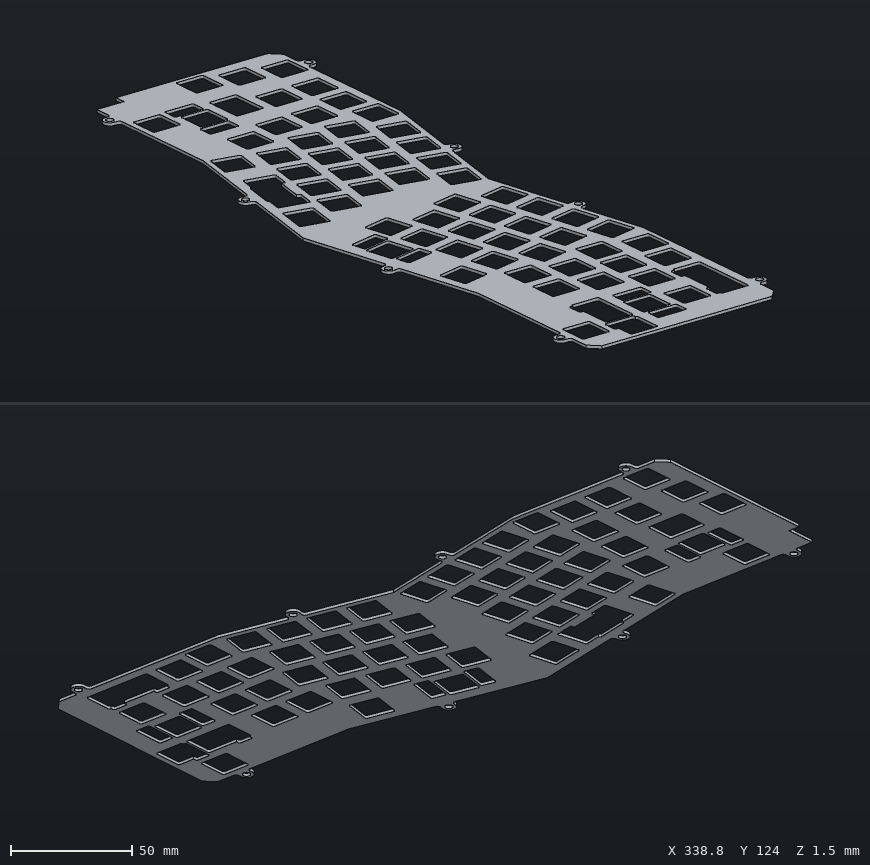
import cadquery as cq
import math


LENGTH = 338.8
THICKNESS = 1.5
TILT = 12.0
TOP_EDGE = 56.0
BOTTOM_EDGE = -42.5
BOTTOM_TIP = -62.0
TOP_BEND_LEFT = -86.5
TOP_BEND_RIGHT = 77.0
CORNER_CHAMFER = 4.7
NOTCH_WIDTH = 5.5
NOTCH_HEIGHT = 14.2

ROWS = 5
ROW_SPAN = 76.2
PITCH = ROW_SPAN / (ROWS - 1)
TOP_ROW = 44.0
KEY_WEB = 5.0
KEY_OPENING = PITCH - KEY_WEB
CORNER_RADIUS = 0.7
RAISE = 2.5

SLOT_WIDTH = 7.0
SLOT_HEIGHT = 15.0
SLOT_SPREAD = 12.0
SLOT_SHIFT = 1.42
UP = 1
DOWN = -1

TAB_RADIUS = 3.22
TAB_HOLE_RADIUS = 1.7
TAB_REACH = 2.8
TAB_FLARE = 1.5
TAB_ROOT = 1.7
TAB_X_OUTER = 151.5
TAB_X_TOP_LEFT = -42.0
TAB_X_TOP_RIGHT = 40.3
TAB_X_BOTTOM = 47.5

STRAIGHT_ROWS = [
    (0, -128.5, (0, 1), None),
    (1, -128.0, (0, 1.25), None),
    (2, -134.5, (0, 0.25, 1.625), None),
    (3, -129.0, (0, 1.625), (0, DOWN)),
    (4, -136.5, (0,), None),
    (0, 108.8, (0, 1, 1.5, 2), (1.5, DOWN)),
    (1, 103.5, (0, 1, 2.25), None),
    (2, 93.5, (0, 1, 2.625), (2.625, UP)),
    (3, 88.0, (0, 1, 2.375, 2.875, 3.75), (2.875, DOWN)),
    (4, 151.8, (0,), None),
]

LEFT_BLOCK = (-70.0, 42.5)
LEFT_STAGGER = (0, -0.5, -0.25, 0.25)
RIGHT_BLOCK = (69.8, 44.5)
RIGHT_STAGGER = (0, -0.5, -0.25, -0.75)
KEYS_PER_TILTED_ROW = 4
THUMB_ROW = ROWS - 1
LEFT_SPACE_KEYS = (2.0, 2.125)
LEFT_END_KEYS = (3.625, 3.75)
RIGHT_SPACE_KEY = -2.875
LEFT_LOW_KEY = (-82.3, -34.5)
RIGHT_LOW_KEY = (72.5, -34.5)

RAISED_COLUMN_X = -151.8
RAISED_COLUMN_ROWS = 3
RAISED_TOP_LEFT_X = -90.8
RAISED_TOP_RIGHT_X = 90.5
RAISED_SECOND_X = 85.5
HALF_RAISE = RAISE / 2

SLOPE = math.tan(math.radians(TILT))


def row_y(row):
    return TOP_ROW - row * PITCH


def along(center, dx, dy, angle):
    """Point reached from center by (dx, dy) in axes turned by angle."""
    c = math.cos(math.radians(angle))
    s = math.sin(math.radians(angle))
    return (center[0] + dx * c - dy * s, center[1] + dx * s + dy * c)


def opening(center, angle=0.0, width=KEY_OPENING, height=KEY_OPENING):
    """Cutter for one rounded rectangle through the plate."""
    cutter = (
        cq.Workplane("XY")
        .box(width, height, 2 * THICKNESS)
        .edges("|Z")
        .fillet(CORNER_RADIUS)
        .rotate((0, 0, 0), (0, 0, 1), angle)
        .translate((center[0], center[1], 0))
    )
    return cutter.val()


def stabilizer(center, side, angle=0.0):
    """Cutters for the slot pair of a wide key, shifted to the given side of the row."""
    slots = []
    for spread in (-SLOT_SPREAD, SLOT_SPREAD):
        slot = along(center, spread, side * SLOT_SHIFT, angle)
        slots.append(opening(slot, angle, SLOT_WIDTH, SLOT_HEIGHT))
    return slots


def plate_blank():
    end = LENGTH / 2
    bottom_bend = (BOTTOM_EDGE - BOTTOM_TIP) / SLOPE
    valley_x = (TOP_BEND_LEFT + TOP_BEND_RIGHT) / 2
    valley_y = TOP_EDGE - (TOP_BEND_RIGHT - valley_x) * SLOPE
    outline = [
        (-end, TOP_EDGE - CORNER_CHAMFER),
        (-end + CORNER_CHAMFER, TOP_EDGE),
        (TOP_BEND_LEFT, TOP_EDGE),
        (valley_x, valley_y),
        (TOP_BEND_RIGHT, TOP_EDGE),
        (end - CORNER_CHAMFER, TOP_EDGE),
        (end, TOP_EDGE - CORNER_CHAMFER),
        (end, BOTTOM_EDGE + CORNER_CHAMFER),
        (end - CORNER_CHAMFER, BOTTOM_EDGE),
        (bottom_bend, BOTTOM_EDGE),
        (0, BOTTOM_TIP),
        (-bottom_bend, BOTTOM_EDGE),
        (-end + NOTCH_WIDTH, BOTTOM_EDGE),
        (-end + NOTCH_WIDTH, BOTTOM_EDGE + NOTCH_HEIGHT),
        (-end, BOTTOM_EDGE + NOTCH_HEIGHT),
    ]
    return cq.Workplane("XY").polyline(outline).close().extrude(THICKNESS / 2, both=True)


def add_tab(plate, foot, angle):
    """Add a holed tab standing on the plate edge at foot, pointing along +Y turned by angle."""
    base = TAB_RADIUS + TAB_FLARE
    mid = TAB_FLARE * (1 - math.sin(math.pi / 4))
    tab = (
        cq.Workplane("XY")
        .moveTo(-base, -TAB_ROOT)
        .lineTo(-base, 0)
        .threePointArc((-TAB_RADIUS - mid, mid), (-TAB_RADIUS, TAB_FLARE))
        .lineTo(-TAB_RADIUS, TAB_REACH)
        .threePointArc((0, TAB_REACH + TAB_RADIUS), (TAB_RADIUS, TAB_REACH))
        .lineTo(TAB_RADIUS, TAB_FLARE)
        .threePointArc((TAB_RADIUS + mid, mid), (base, 0))
        .lineTo(base, -TAB_ROOT)
        .close()
        .moveTo(0, TAB_REACH)
        .circle(TAB_HOLE_RADIUS)
        .extrude(THICKNESS / 2, both=True)
        .rotate((0, 0, 0), (0, 0, 1), angle)
        .translate((foot[0], foot[1], 0))
    )
    return plate.union(tab)


def add_tabs(plate):
    top_left_y = TOP_EDGE - (TAB_X_TOP_LEFT - TOP_BEND_LEFT) * SLOPE
    top_right_y = TOP_EDGE - (TOP_BEND_RIGHT - TAB_X_TOP_RIGHT) * SLOPE
    plate = add_tab(plate, (TAB_X_TOP_LEFT, top_left_y), -TILT)
    plate = add_tab(plate, (TAB_X_TOP_RIGHT, top_right_y), TILT)
    for side in (-1, 1):
        plate = add_tab(plate, (side * TAB_X_OUTER, TOP_EDGE), 0)
        plate = add_tab(plate, (side * TAB_X_OUTER, BOTTOM_EDGE), 180)
        sloped_y = BOTTOM_TIP + TAB_X_BOTTOM * SLOPE
        plate = add_tab(plate, (side * TAB_X_BOTTOM, sloped_y), 180 + side * TILT)
    return plate


def straight_keys():
    cutters = []
    for row, first_x, places, stabilized in STRAIGHT_ROWS:
        for place in places:
            cutters.append(opening((first_x + place * PITCH, row_y(row))))
        if stabilized:
            place, side = stabilized
            cutters += stabilizer((first_x + place * PITCH, row_y(row)), side)
    return cutters


def raised_keys():
    cutters = []
    for row in range(RAISED_COLUMN_ROWS):
        shift = row * PITCH * SLOPE
        cutters.append(opening((RAISED_COLUMN_X - shift, row_y(row) + RAISE)))
    cutters.append(opening((RAISED_TOP_LEFT_X, row_y(0) + RAISE)))
    cutters.append(opening((RAISED_TOP_RIGHT_X, row_y(0) + RAISE)))
    cutters.append(opening((RAISED_SECOND_X, row_y(1) + HALF_RAISE)))
    return cutters


def tilted_keys(corner, stagger, inward, angle):
    """Four staggered rows of keys, stepping from the outermost key inward."""
    cutters = []
    for row, shift in enumerate(stagger):
        for key in range(KEYS_PER_TILTED_ROW):
            place = shift + inward * key
            center = along(corner, place * PITCH, -row * PITCH, angle)
            cutters.append(opening(center, angle))
    return cutters


def thumb_keys():
    """Bottom keys of the tilted blocks; the left space opening takes two key positions."""
    drop = -THUMB_ROW * PITCH
    cutters = []
    for place in LEFT_SPACE_KEYS:
        center = along(LEFT_BLOCK, place * PITCH, drop, -TILT)
        cutters.append(opening(center, -TILT))
        cutters += stabilizer(center, UP, -TILT)
    for place in LEFT_END_KEYS:
        center = along(LEFT_BLOCK, place * PITCH, drop, -TILT)
        cutters.append(opening(center, -TILT))
    center = along(RIGHT_BLOCK, RIGHT_SPACE_KEY * PITCH, drop, TILT)
    cutters.append(opening(center, TILT))
    cutters += stabilizer(center, UP, TILT)
    cutters.append(opening(LEFT_LOW_KEY, -TILT))
    cutters.append(opening(RIGHT_LOW_KEY, TILT))
    return cutters


openings = straight_keys() + raised_keys() + thumb_keys()
openings += tilted_keys(LEFT_BLOCK, LEFT_STAGGER, 1, -TILT)
openings += tilted_keys(RIGHT_BLOCK, RIGHT_STAGGER, -1, TILT)
plate = add_tabs(plate_blank()).val()
result = cq.Workplane("XY").newObject([plate.cut(*openings)])